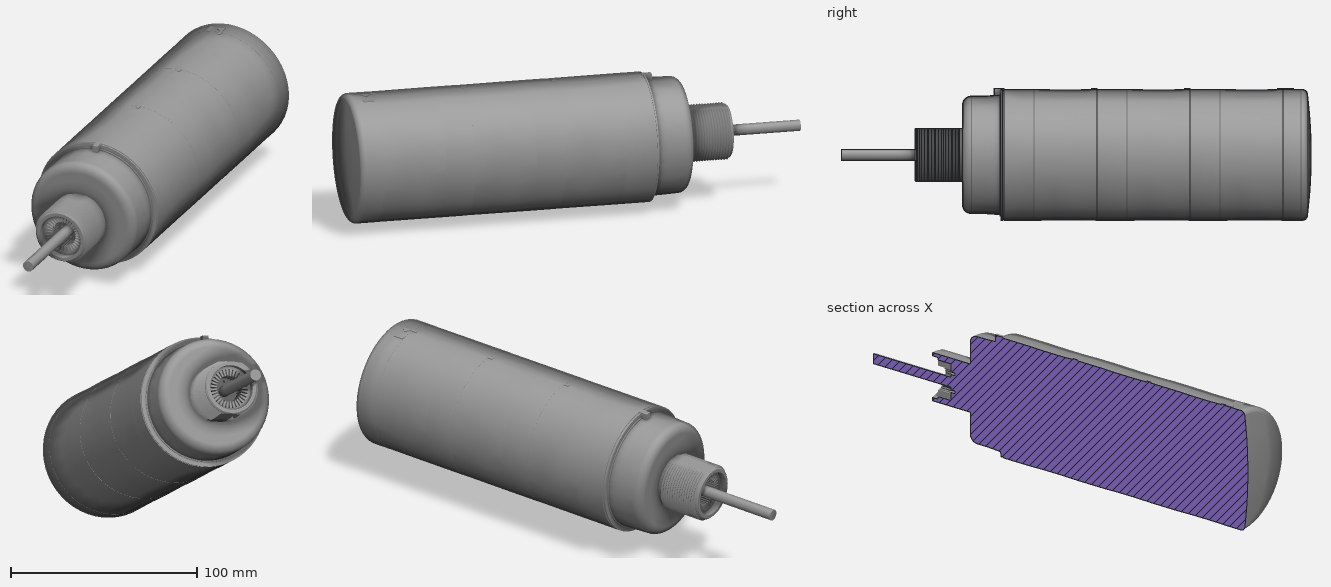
import cadquery as cq
import math

TOTAL_LENGTH = 252.0
CAP_APEX = TOTAL_LENGTH / 2
CABLE_END = -TOTAL_LENGTH / 2

BODY_DIAMETER = 70.3
BODY_RADIUS = BODY_DIAMETER / 2
CAP_LENGTH = 15.0
DOME_HEIGHT = 2.0
DOME_RADIUS = 32.8
CAP_ROUND_LENGTH = 3.5
MODULE_COUNT = 3
MODULE_PITCH = 50.0
MODULE_STEP = 0.08
TAPER_LENGTH = 33.8
RIM_LENGTH = 1.5
RIM_GROOVE_WIDTH = 0.8
RIM_GROOVE_DEPTH = 0.5
CAP_BOTTOM = CAP_APEX - CAP_LENGTH
MODULES_BOTTOM = CAP_BOTTOM - MODULE_COUNT * MODULE_PITCH
RIM_BOTTOM = MODULES_BOTTOM - RIM_LENGTH

COLLAR_RADIUS = 32.8
COLLAR_LENGTH = 0.5
BASE_TOP_RADIUS = 32.0
BASE_BOTTOM_RADIUS = 31.5
BASE_LENGTH = 20.7
BASE_ROUND = 4.8
BASE_BOTTOM = RIM_BOTTOM - BASE_LENGTH

THREAD_RADIUS = 15.5
ROOT_RADIUS = 14.5
THREAD_PITCH = 1.5
THREAD_TURNS = 15
NECK_LENGTH = 1.5
STUD_LENGTH = 25.5
STUD_CHAMFER = 0.8
STUD_FLAT_WIDTH = 28.5
STUD_END = BASE_BOTTOM - STUD_LENGTH

MOUTH_RADIUS = 12.0
MOUTH_DEPTH = 3.8
THROAT_RADIUS = 7.0
THROAT_DEPTH = 8.8
TOOTH_GAP_RADIUS = 10.5
TOOTH_GAP_WIDTH = 0.8
TOOTH_COUNT = 32
BORE_FLOOR = STUD_END + MOUTH_DEPTH + THROAT_DEPTH
PIN_HOLE_COUNT = 4
PIN_HOLE_CIRCLE_RADIUS = 5.3
PIN_HOLE_DIAMETER = 1.3
PIN_HOLE_DEPTH = 2.5

CABLE_DIAMETER = 6.0

MARK_HEIGHT = 0.5
MARK_TOP = BODY_RADIUS + MARK_HEIGHT
MARK_SINK = 1.3
TICK_WIDTH = 1.5
TICK_LENGTH = 3.0
POINTER_WIDTH = 3.0
POINTER_LENGTH = 5.3
ARROW_WIDTH = 3.8
ARROW_LENGTH = 5.5
PAD_EDGE = 9.0
PAD_WIDTH = 5.0
PAD_TOP = 34.5
PAD_LENGTH = 5.8


def turned_body():
    """Cap, modules and base cup, turned from one half profile."""
    diagonal = math.sqrt(0.5)
    dome_middle = (DOME_RADIUS / 2, CAP_APEX - DOME_HEIGHT / 4)
    cap_edge = CAP_APEX - DOME_HEIGHT
    cap_side_top = cap_edge - CAP_ROUND_LENGTH
    round_width = BODY_RADIUS - DOME_RADIUS
    profile = (
        cq.Workplane("XY")
        .moveTo(0, CAP_APEX)
        .threePointArc(dome_middle, (DOME_RADIUS, cap_edge))
        .threePointArc(
            (DOME_RADIUS + round_width * diagonal, cap_side_top + CAP_ROUND_LENGTH * diagonal),
            (BODY_RADIUS, cap_side_top),
        )
        .lineTo(BODY_RADIUS, CAP_BOTTOM)
    )
    for index in range(MODULE_COUNT):
        module_top = CAP_BOTTOM - index * MODULE_PITCH
        profile = (
            profile.lineTo(BODY_RADIUS - MODULE_STEP, module_top)
            .lineTo(BODY_RADIUS, module_top - TAPER_LENGTH)
            .lineTo(BODY_RADIUS, module_top - MODULE_PITCH)
        )
    round_center_radius = BASE_BOTTOM_RADIUS - BASE_ROUND
    round_center_y = BASE_BOTTOM + BASE_ROUND
    profile = (
        profile.lineTo(BODY_RADIUS - RIM_GROOVE_DEPTH, MODULES_BOTTOM)
        .lineTo(BODY_RADIUS - RIM_GROOVE_DEPTH, MODULES_BOTTOM - RIM_GROOVE_WIDTH)
        .lineTo(BODY_RADIUS, MODULES_BOTTOM - RIM_GROOVE_WIDTH)
        .lineTo(BODY_RADIUS, RIM_BOTTOM)
        .lineTo(COLLAR_RADIUS, RIM_BOTTOM)
        .lineTo(COLLAR_RADIUS, RIM_BOTTOM - COLLAR_LENGTH)
        .lineTo(BASE_TOP_RADIUS, RIM_BOTTOM - COLLAR_LENGTH)
        .lineTo(BASE_BOTTOM_RADIUS, round_center_y)
        .threePointArc(
            (round_center_radius + BASE_ROUND * diagonal, round_center_y - BASE_ROUND * diagonal),
            (round_center_radius, BASE_BOTTOM),
        )
        .lineTo(0, BASE_BOTTOM)
        .close()
    )
    return profile.revolve(360, (0, 0), (0, 1))


def cylinder(radius, start, end):
    """Cylinder on the Y axis between two places."""
    return cq.Workplane("XZ", origin=(0, start, 0)).circle(radius).extrude(start - end)


def threaded_stud():
    """Stud with ring-shaped thread ridges, cut to two flats facing up and down."""
    thread_start = BASE_BOTTOM - NECK_LENGTH
    profile = cq.Workplane("XY").moveTo(0, BASE_BOTTOM).lineTo(ROOT_RADIUS, BASE_BOTTOM)
    profile = profile.lineTo(ROOT_RADIUS, thread_start)
    for turn in range(THREAD_TURNS):
        ridge_top = thread_start - turn * THREAD_PITCH
        profile = profile.lineTo(THREAD_RADIUS, ridge_top - THREAD_PITCH / 2)
        profile = profile.lineTo(ROOT_RADIUS, ridge_top - THREAD_PITCH)
    stud = (
        profile.lineTo(ROOT_RADIUS, STUD_END + STUD_CHAMFER)
        .lineTo(ROOT_RADIUS - STUD_CHAMFER, STUD_END)
        .lineTo(0, STUD_END)
        .close()
        .revolve(360, (0, 0), (0, 1))
    )
    between_flats = cq.Workplane("XY").box(2 * THREAD_RADIUS, TOTAL_LENGTH, STUD_FLAT_WIDTH)
    return stud.intersect(between_flats)


def stud_bore():
    """Space inside the stud: mouth, toothed throat and the pin holes in its floor."""
    mouth = cylinder(MOUTH_RADIUS, STUD_END + MOUTH_DEPTH, STUD_END)
    throat = cylinder(THROAT_RADIUS, BORE_FLOOR, STUD_END)
    gap_inner_radius = THROAT_RADIUS / 2
    gap_length = TOOTH_GAP_RADIUS - gap_inner_radius
    gaps = (
        cq.Workplane("XZ", origin=(0, BORE_FLOOR, 0))
        .polarArray((TOOTH_GAP_RADIUS + gap_inner_radius) / 2, 0, 360, TOOTH_COUNT)
        .rect(gap_length, TOOTH_GAP_WIDTH)
        .extrude(THROAT_DEPTH, combine=False)
    )
    pin_holes = (
        cq.Workplane("XZ", origin=(0, BORE_FLOOR + PIN_HOLE_DEPTH, 0))
        .polarArray(PIN_HOLE_CIRCLE_RADIUS, 0, 360, PIN_HOLE_COUNT)
        .circle(PIN_HOLE_DIAMETER / 2)
        .extrude(PIN_HOLE_DEPTH)
    )
    return throat.union(gaps).union(mouth).union(pin_holes)


def block(width, length, center_x, far_y, bottom, top=MARK_TOP):
    """Upright block reaching from far_y toward the cable by its length."""
    center = (center_x, far_y - length / 2, bottom)
    return cq.Workplane("XY", origin=center).rect(width, length).extrude(top - bottom)


def raised_marks():
    """Ticks on the modules, the base pointer, and the pad and arrow on the cap."""
    mark_bottom = BODY_RADIUS - MARK_SINK
    marks = block(POINTER_WIDTH, POINTER_LENGTH, 0, MODULES_BOTTOM, BASE_TOP_RADIUS - MARK_SINK)
    for index in range(MODULE_COUNT):
        module_top = CAP_BOTTOM - index * MODULE_PITCH
        marks = marks.union(block(TICK_WIDTH, TICK_LENGTH, 0, module_top, mark_bottom))
    arrow = (
        cq.Workplane("XY", origin=(0, CAP_BOTTOM, mark_bottom))
        .polyline([(0, 0), (0, ARROW_LENGTH), (-ARROW_WIDTH, ARROW_LENGTH / 2)])
        .close()
        .extrude(MARK_TOP - mark_bottom)
    )
    pad_bottom = math.sqrt(BODY_RADIUS**2 - PAD_EDGE**2) - MARK_SINK
    pad_center = PAD_WIDTH / 2 - PAD_EDGE
    pad = block(PAD_WIDTH, PAD_LENGTH, pad_center, CAP_BOTTOM + PAD_LENGTH, pad_bottom, PAD_TOP)
    return marks.union(arrow).union(pad)


cable = cylinder(CABLE_DIAMETER / 2, BASE_BOTTOM, CABLE_END)
result = turned_body().union(threaded_stud()).cut(stud_bore()).union(cable).union(raised_marks())